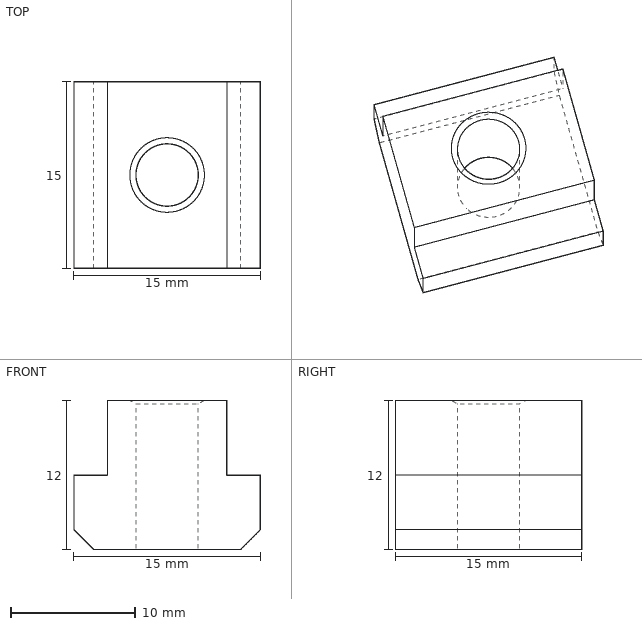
import cadquery as cq
import math

width = 15.0
length = 15.0
height = 12.0

neck_width = 9.6
flange_height = height / 2
bottom_chamfer = 1.6

hole_diameter = 5.0
countersink_diameter = 6.0
countersink_angle = 120.0


def t_block():
    """T-shaped bar along Y, with its lower edges chamfered."""
    flange = (
        cq.Workplane("XY")
        .box(width, length, flange_height, centered=(True, True, False))
        .edges("|Y and <Z")
        .chamfer(bottom_chamfer)
    )
    neck = cq.Workplane("XY").box(neck_width, length, height, centered=(True, True, False))
    return flange.union(neck)


def countersunk_hole():
    """Cutting tool: a full-height cylinder with a cone at the top face."""
    hole_radius = hole_diameter / 2
    countersink_radius = countersink_diameter / 2
    half_angle = math.radians(countersink_angle / 2)
    countersink_depth = (countersink_radius - hole_radius) / math.tan(half_angle)
    return (
        cq.Workplane("XZ")
        .polyline([
            (0, 0),
            (hole_radius, 0),
            (hole_radius, height - countersink_depth),
            (countersink_radius, height),
            (0, height),
        ])
        .close()
        .revolve(360, (0, 0), (0, 1))
    )


result = t_block().cut(countersunk_hole())